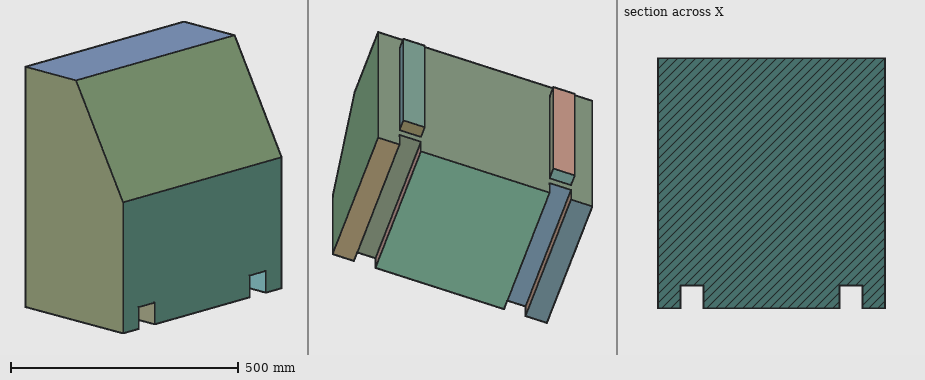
import cadquery as cq
import math

body_depth = 300.0
body_width = 500.0
body_height = 550.0
front_height = 300.0
slope_from_vertical = 30.0
slope_run = (body_height - front_height) * math.tan(math.radians(slope_from_vertical))

rail_width = 50.0
rail_thickness = 25.0
rail_bottom = 75.0
rail_top = 500.0
rail_edge_margin = 50.0
slot_height = 50.0
rail_offset = body_width / 2 - rail_edge_margin - rail_width / 2


def make_body():
    """Extrude the side profile across the full width, centred on Y = 0."""
    profile = [
        (0, 0),
        (body_depth, 0),
        (body_depth, front_height),
        (body_depth - slope_run, body_height),
        (0, body_height),
    ]
    return cq.Workplane("XZ").polyline(profile).close().extrude(body_width / 2, both=True)


def make_rail(y_center):
    """Upright bar standing off the back face (X = 0)."""
    rail_length = rail_top - rail_bottom
    return (
        cq.Workplane("XY")
        .box(rail_thickness, rail_width, rail_length, centered=(False, True, False))
        .translate((-rail_thickness, y_center, rail_bottom))
    )


def make_slot(y_center):
    """Slot open at the bottom, running through the whole depth."""
    return (
        cq.Workplane("XY")
        .box(body_depth, rail_width, slot_height, centered=(False, True, False))
        .translate((0, y_center, 0))
    )


result = make_body()
for y_center in (-rail_offset, rail_offset):
    result = result.union(make_rail(y_center)).cut(make_slot(y_center))